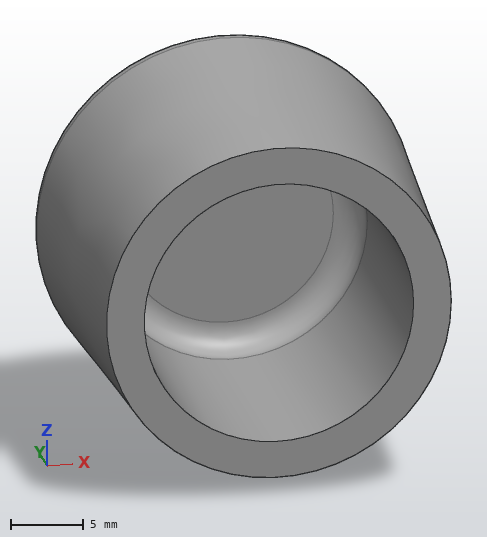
import cadquery as cq
import math

outer_diameter = 26.7
length = 21.2
open_end_diameter = 24.38
bore_diameter = 19.05
outer_round = 2.0
floor_round = 2.0

outer_radius = outer_diameter / 2
open_end_radius = open_end_diameter / 2
bore_radius = bore_diameter / 2
end_wall = open_end_radius - bore_radius
open_end_y = -length / 2
closed_end_y = length / 2
floor_y = closed_end_y - end_wall

round_center_x = outer_radius - outer_round
round_center_y = closed_end_y - outer_round
center_offset_x = round_center_x - open_end_radius
center_offset_y = round_center_y - open_end_y
center_distance = math.hypot(center_offset_x, center_offset_y)
taper_angle = math.asin(outer_round / center_distance) + math.atan2(center_offset_x, center_offset_y)


def point_on_outer_round(angle):
    """Point on the outer round, with the angle measured from the radial direction."""
    return (
        round_center_x + outer_round * math.cos(angle),
        round_center_y + outer_round * math.sin(angle),
    )


def make_body():
    """Solid of revolution about Y: tapered side and rounded closed end."""
    profile = (
        cq.Workplane("XY")
        .moveTo(0, open_end_y)
        .lineTo(open_end_radius, open_end_y)
        .lineTo(*point_on_outer_round(-taper_angle))
        .threePointArc(point_on_outer_round(math.pi / 4), (round_center_x, closed_end_y))
        .lineTo(0, closed_end_y)
        .close()
    )
    return profile.revolve(360, (0, 0, 0), (0, 1, 0))


def make_bore():
    """Straight blind bore with a rounded floor edge."""
    bore = cq.Workplane("XZ", origin=(0, floor_y, 0)).circle(bore_radius).extrude(floor_y - open_end_y)
    return bore.faces(">Y").edges().fillet(floor_round)


result = make_body().cut(make_bore())